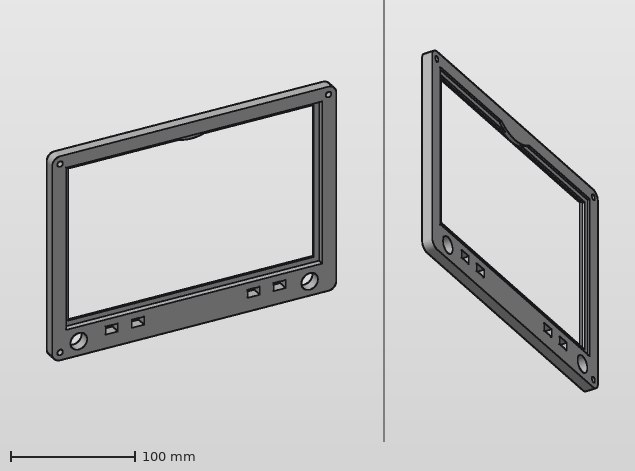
import cadquery as cq

thickness = 9.5
width = 260.0
height = 188.0
corner_radius = 7.5

window_width = 224.6
window_height = 140.0
window_center_z = 7.3
ledge_width = 4.7
recess_width = window_width + 2 * ledge_width
recess_height = window_height + 2 * ledge_width
recess_depth = 2.0
lip_thickness = 2.0
rear_pocket_depth = thickness - recess_depth - lip_thickness

tab_chord = 42.6
tab_drop = 6.5

screw_diameter = 5.0
screw_inset = 7.3
knob_diameter = 15.0
knob_y = 105.5
knob_z = -80.9
slot_width = 11.2
slot_height = 7.3
slot_z = -77.5
slot_offsets = (-75.5, -51.5, 54.3, 78.0)

front_x = -thickness / 2
through = 2 * thickness


def block(start_x, depth, size_y, size_z, y=0.0, z=0.0):
    """Box that begins at start_x and is centred on y and z."""
    box = cq.Workplane("XY").box(depth, size_y, size_z)
    return box.translate((start_x + depth / 2, y, z))


def bore(diameter, y, z):
    """Cylinder along X passing through the whole plate."""
    profile = cq.Workplane("YZ").center(y, z).circle(diameter / 2)
    return profile.extrude(thickness, both=True)


plate = block(front_x, thickness, width, height)
plate = plate.edges("|X").fillet(corner_radius)

plate = plate.cut(block(front_x, recess_depth, recess_width, recess_height, z=window_center_z))
plate = plate.cut(block(-thickness, through, window_width, window_height, z=window_center_z))
rear_pocket_x = thickness / 2 - rear_pocket_depth
plate = plate.cut(
    block(rear_pocket_x, rear_pocket_depth, recess_width, recess_height, z=window_center_z)
)

recess_top_z = window_center_z + recess_height / 2
tab = (
    cq.Workplane("YZ", origin=(front_x, 0, 0))
    .moveTo(-tab_chord / 2, recess_top_z)
    .threePointArc((0, recess_top_z - tab_drop), (tab_chord / 2, recess_top_z))
    .close()
    .extrude(recess_depth + lip_thickness)
)
plate = plate.union(tab)

screw_y = width / 2 - screw_inset
screw_z = height / 2 - screw_inset
for y, z in ((screw_y, screw_z), (-screw_y, screw_z), (-screw_y, -screw_z)):
    plate = plate.cut(bore(screw_diameter, y, z))

for y in (-knob_y, knob_y):
    plate = plate.cut(bore(knob_diameter, y, knob_z))

for y in slot_offsets:
    plate = plate.cut(block(-thickness, through, slot_width, slot_height, y, slot_z))

result = plate